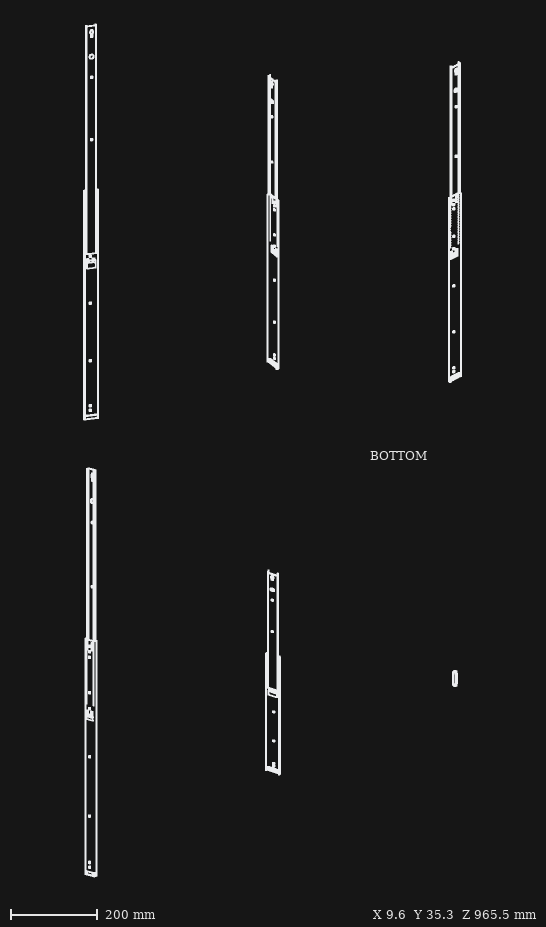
import cadquery as cq
import math


TOTAL_LENGTH = 965.5
THICKNESS = 9.6
WIDTH = 35.3
RAIL_LENGTH = 559.0
SHEET = 1.2
BUMPER_OVERHANG = 1.2

OUTER_BOTTOM = BUMPER_OVERHANG
OUTER_TOP = OUTER_BOTTOM + RAIL_LENGTH
INNER_TOP = TOTAL_LENGTH
INNER_BOTTOM = INNER_TOP - RAIL_LENGTH

RACEWAY_RADIUS = 5.2
RACEWAY_X = 5.0
LIP_X = 9.0
RACEWAY_Y = WIDTH / 2 - RACEWAY_RADIUS
OUTER_BEND_RADIUS = 4.2
OUTER_BEND_Y = RACEWAY_Y + math.sqrt(
    (RACEWAY_RADIUS - OUTER_BEND_RADIUS) ** 2 - (RACEWAY_X - OUTER_BEND_RADIUS) ** 2
)
JOINT_ANGLE = math.degrees(math.atan2(OUTER_BEND_Y - RACEWAY_Y, OUTER_BEND_RADIUS - RACEWAY_X))
LIP_ANGLE = math.degrees(math.acos((LIP_X - RACEWAY_X) / RACEWAY_RADIUS))

INNER_HALF_WIDTH = 12.4
INNER_BEND_RADIUS = 2.0
INNER_EDGE_X = 2.6
GROOVE_DEPTH = 0.9

HOLE_DIAMETER = 4.5
OUTER_HOLE_DEPTHS = [14.8, 27.8, 41.0, 125.2, 163.0, 277.9, 419.0, 529.4, 541.0]
INNER_HOLE_DEPTHS = [126.5, 279.2]
LOCATING_HOLE_DIAMETER = 10.0
LOCATING_HOLE_DEPTH = 75.6
KEYHOLE_DIAMETER = 7.5
KEYHOLE_DEPTH = 15.6
KEYHOLE_SLOT_WIDTH = 4.0
KEYHOLE_SLOT_TOP = 10.2
KEYHOLE_SLOT_BOTTOM = 27.6

SLIT_WIDTH = 1.0
SLIT_DEPTH = 5.5
SLIT_INNER_Y = 6.5
SLIT_OUTER_Y = 12.8
SLIT_LENGTH = 18.5

WINDOW_TOP = 169.0
WINDOW_BOTTOM = 183.5
WINDOW_INNER_Y = 4.5
WINDOW_OUTER_Y = 10.6
BRIDGE_TOP = 177.5
BRIDGE_BOTTOM = 180.5

STOP_WIDTH = 21.2
STOP_TOP = 171.7
STOP_RAMP_TOP = 177.2
STOP_RAMP_BOTTOM = 183.7
STOP_BOTTOM = 190.0
STOP_BACK_X = 4.7
STOP_FRONT_X = 7.2

BUMPER_WIDTH = 31.6
BUMPER_HEIGHT = 8.0
BUMPER_FRONT_X = 5.6
LUG_INNER_Y = 9.6
LUG_OUTER_Y = 11.6
LUG_HEIGHT = 3.3



def polar(centre, radius, angle):
    """Point at an angle and radius from a centre."""
    turn = math.radians(angle)
    return (centre[0] + radius * math.cos(turn), centre[1] + radius * math.sin(turn))


def add_arcs(sketch, skin):
    """Follow a skin: a start point, then pairs of middle and end points of arcs."""
    for index in range(1, len(skin), 2):
        sketch = sketch.threePointArc(skin[index], skin[index + 1])
    return sketch


def rail_blank(outside, inside, bottom):
    """Extrude a sheet section that is symmetric about Y = 0.

    Both skins run from the flat web to the free edge on the +Y side.
    """
    sketch = cq.Workplane("XY").workplane(offset=bottom)
    sketch = sketch.moveTo(outside[0][0], 0).lineTo(*outside[0])
    sketch = add_arcs(sketch, outside)
    sketch = sketch.lineTo(*inside[-1])
    sketch = add_arcs(sketch, inside[::-1])
    sketch = sketch.lineTo(inside[0][0], 0).close()
    half = sketch.extrude(RAIL_LENGTH)
    return half.union(half.mirror("XZ"))


def outer_skin(inset):
    """Half skin of the outer rail, moved into the sheet by the inset."""
    bend = (OUTER_BEND_RADIUS, OUTER_BEND_Y)
    raceway = (RACEWAY_X, RACEWAY_Y)
    bend_radius = OUTER_BEND_RADIUS - inset
    raceway_radius = RACEWAY_RADIUS - inset
    return [
        polar(bend, bend_radius, 180),
        polar(bend, bend_radius, (180 + JOINT_ANGLE) / 2),
        polar(bend, bend_radius, JOINT_ANGLE),
        polar(raceway, raceway_radius, 90),
        polar(raceway, raceway_radius, LIP_ANGLE),
    ]


def inner_skin(inset):
    """Half skin of the inner rail, moved into the sheet by the inset."""
    bend = (THICKNESS - INNER_BEND_RADIUS, INNER_HALF_WIDTH - INNER_BEND_RADIUS)
    bend_radius = INNER_BEND_RADIUS - inset
    wall_y = INNER_HALF_WIDTH - inset
    groove_x = (bend[0] + INNER_EDGE_X) / 2
    return [
        polar(bend, bend_radius, 0),
        polar(bend, bend_radius, 45),
        polar(bend, bend_radius, 90),
        (groove_x, wall_y - GROOVE_DEPTH),
        (INNER_EDGE_X, wall_y),
    ]


def hole_cutter(diameter, z):
    """Round cutter through the whole thickness, on the plane of symmetry."""
    return cq.Workplane("YZ").center(0, z).circle(diameter / 2).extrude(THICKNESS)


def block(x_low, x_high, y_low, y_high, z_low, z_high):
    size = (x_high - x_low, y_high - y_low, z_high - z_low)
    return cq.Workplane("XY").box(*size, centered=False).translate((x_low, y_low, z_low))


def slot_cutter(y_low, y_high, z_low, z_high):
    """Rectangular cutter through the whole thickness."""
    return block(0, THICKNESS, y_low, y_high, z_low, z_high)


def slit_cutter():
    """L-shaped slit on the +Y side."""
    top = OUTER_TOP - SLIT_DEPTH
    across = slot_cutter(SLIT_INNER_Y, SLIT_OUTER_Y, top - SLIT_WIDTH, top)
    along = slot_cutter(SLIT_INNER_Y, SLIT_INNER_Y + SLIT_WIDTH, top - SLIT_LENGTH, top)
    return across.union(along)


def window_cutter():
    """H-shaped window: two upright slots joined by a bridge slot."""
    low = OUTER_TOP - WINDOW_BOTTOM
    high = OUTER_TOP - WINDOW_TOP
    upright = slot_cutter(WINDOW_INNER_Y, WINDOW_OUTER_Y, low, high)
    bridge = slot_cutter(
        -WINDOW_INNER_Y, WINDOW_INNER_Y, OUTER_TOP - BRIDGE_BOTTOM, OUTER_TOP - BRIDGE_TOP
    )
    return upright.union(upright.mirror("XZ")).union(bridge)


def make_outer_rail():
    rail = rail_blank(outer_skin(0), outer_skin(SHEET), OUTER_BOTTOM)
    for depth in OUTER_HOLE_DEPTHS:
        rail = rail.cut(hole_cutter(HOLE_DIAMETER, OUTER_TOP - depth))
    slit = slit_cutter()
    rail = rail.cut(slit).cut(slit.mirror("XZ")).cut(window_cutter())
    return rail.cut(bumper_lugs())


def make_inner_rail():
    rail = rail_blank(inner_skin(0), inner_skin(SHEET), INNER_BOTTOM)
    for depth in INNER_HOLE_DEPTHS:
        rail = rail.cut(hole_cutter(HOLE_DIAMETER, INNER_TOP - depth))
    rail = rail.cut(hole_cutter(LOCATING_HOLE_DIAMETER, INNER_TOP - LOCATING_HOLE_DEPTH))
    rail = rail.cut(hole_cutter(KEYHOLE_DIAMETER, INNER_TOP - KEYHOLE_DEPTH))
    half_slot = KEYHOLE_SLOT_WIDTH / 2
    slot_low = INNER_TOP - KEYHOLE_SLOT_BOTTOM
    slot_high = INNER_TOP - KEYHOLE_SLOT_TOP
    return rail.cut(slot_cutter(-half_slot, half_slot, slot_low, slot_high))


def bumper_lugs():
    """Both lugs, as deep as the web is thick."""
    lug = block(0, SHEET, LUG_INNER_Y, LUG_OUTER_Y, OUTER_BOTTOM, OUTER_BOTTOM + LUG_HEIGHT)
    return lug.union(lug.mirror("XZ"))


def make_stop():
    """Stop that rests on the outer web, its ramp facing the window."""
    top = OUTER_TOP - STOP_TOP
    bottom = OUTER_TOP - STOP_BOTTOM
    profile = [
        (SHEET, bottom),
        (STOP_FRONT_X, bottom),
        (STOP_FRONT_X, top),
        (STOP_BACK_X, top),
        (STOP_BACK_X, OUTER_TOP - STOP_RAMP_TOP),
        (SHEET, OUTER_TOP - STOP_RAMP_BOTTOM),
    ]
    return cq.Workplane("XZ").polyline(profile).close().extrude(STOP_WIDTH / 2, both=True)


def make_rear_bumper(rail):
    """Block that fills the bottom of the outer rail and covers its end."""
    half_width = BUMPER_WIDTH / 2
    body = block(SHEET, BUMPER_FRONT_X, -half_width, half_width, 0, BUMPER_HEIGHT)
    return body.union(bumper_lugs()).cut(rail)


outer_rail = make_outer_rail()
inner_rail = make_inner_rail()
stop = make_stop()
rear_bumper = make_rear_bumper(outer_rail)

result = cq.Compound.makeCompound([outer_rail.val(), inner_rail.val(), stop.val(), rear_bumper.val()])